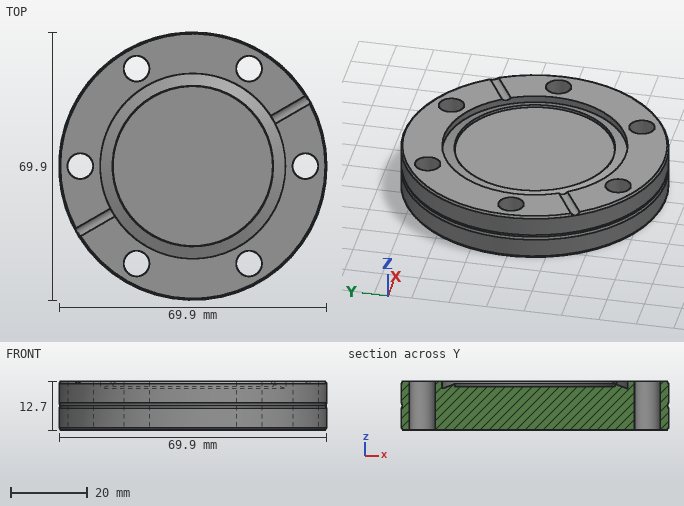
import cadquery as cq
import math

outer_diameter = 69.9
thickness = 12.7
rim_chamfer_width = 0.4
rim_chamfer_height = 0.6

rim_groove_width = 1.5
rim_groove_depth = 0.3

recess_diameter = 48.4
knife_diameter = 42.0
floor_diameter = 41.65
knife_depth = 0.7
knife_slope_degrees = 20.0
floor_depth = 1.3

bolt_count = 6
bolt_circle_diameter = 58.7
bolt_hole_diameter = 6.65

channel_width = 2.4
channel_depth = 0.55
channel_angle = 30.0


def flange_blank():
    """Revolve the half section, including the recess and the rim groove."""
    outer_radius = outer_diameter / 2
    face_radius = outer_radius - rim_chamfer_width
    recess_radius = recess_diameter / 2
    knife_radius = knife_diameter / 2
    knife_fall = (recess_radius - knife_radius) * math.tan(math.radians(knife_slope_degrees))
    middle = thickness / 2
    section = [
        (0, 0),
        (face_radius, 0),
        (outer_radius, rim_chamfer_height),
        (outer_radius, middle - rim_groove_width / 2),
        (outer_radius - rim_groove_depth, middle),
        (outer_radius, middle + rim_groove_width / 2),
        (outer_radius, thickness - rim_chamfer_height),
        (face_radius, thickness),
        (recess_radius, thickness),
        (recess_radius, thickness - knife_depth - knife_fall),
        (knife_radius, thickness - knife_depth),
        (floor_diameter / 2, thickness - floor_depth),
        (0, thickness - floor_depth),
    ]
    return cq.Workplane("XZ").polyline(section).close().revolve(360, (0, 0), (0, 1))


def bolt_holes():
    return (
        cq.Workplane("XY")
        .polarArray(bolt_circle_diameter / 2, 0, 360, bolt_count)
        .circle(bolt_hole_diameter / 2)
        .extrude(thickness)
    )


def leak_check_channel(angle):
    """Round-bottomed cutter running from inside the recess out past the rim."""
    radius = ((channel_width / 2) ** 2 + channel_depth**2) / (2 * channel_depth)
    start = (knife_diameter + recess_diameter) / 4
    return (
        cq.Workplane("YZ", origin=(start, 0, 0))
        .center(0, thickness - channel_depth + radius)
        .circle(radius)
        .extrude(outer_diameter / 2)
        .rotate((0, 0, 0), (0, 0, 1), angle)
    )


result = flange_blank().cut(bolt_holes())
for angle in (channel_angle, channel_angle + 180):
    result = result.cut(leak_check_channel(angle))